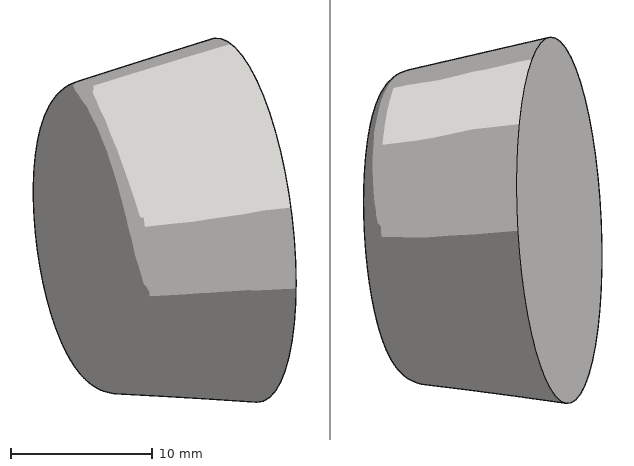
import cadquery as cq
import math

rim_diameter = 26.0
height = 12.0
draft_angle = 10.0
edge_radius = 2.0

rim_radius = rim_diameter / 2
nose_radius = rim_radius - height * math.tan(math.radians(draft_angle))

half_section = (
    cq.Workplane("XY")
    .moveTo(0, -height / 2)
    .lineTo(nose_radius, -height / 2)
    .lineTo(rim_radius, height / 2)
    .lineTo(0, height / 2)
    .close()
)
cone = half_section.revolve(360, (0, 0, 0), (0, 1, 0))

result = cone.faces("<Y").edges().fillet(edge_radius)